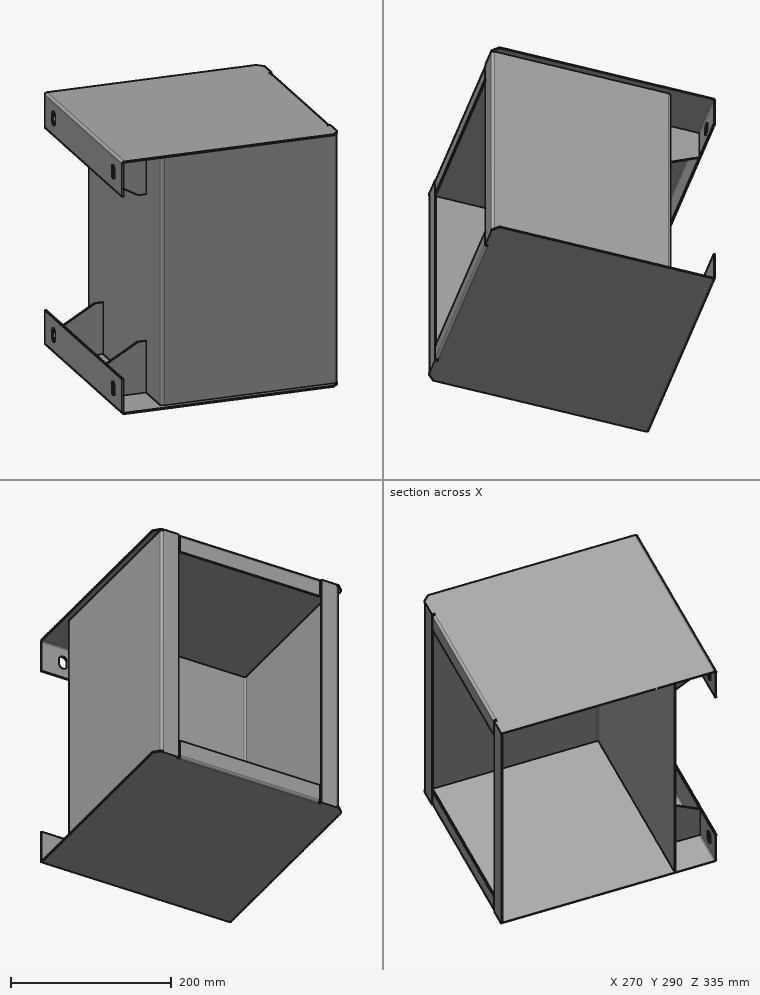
import cadquery as cq

WIDTH = 270.0
DEPTH = 290.0
HEIGHT = 335.0
FRONT = -DEPTH / 2
BACK = DEPTH / 2

SHEET = 2.0
BEND_RADIUS = 3.5

BOX_SIDE_INSET = 7.5
BOX_FRONT_INSET = 54.5
BOX_FRONT_RADIUS = 4.5
BOX_WIDTH = WIDTH - 2 * BOX_SIDE_INSET
BOX_DEPTH = DEPTH - BOX_FRONT_INSET
BOX_FRONT = FRONT + BOX_FRONT_INSET
BOX_CENTRE_Y = (BOX_FRONT + BACK) / 2
BOX_HEIGHT = HEIGHT - 2 * SHEET
BACK_LIP = 25.5
OPENING_WIDTH = BOX_WIDTH - 2 * BACK_LIP

FLANGE_HEIGHT = 46.5
CORNER_CHAMFER = 8.0
RELIEF_WIDTH = 2.5
REAR_LIP_WIDTH = OPENING_WIDTH - 2 * RELIEF_WIDTH

SLOT_WIDTH = 11.0
SLOT_LENGTH = 18.0
SLOT_SPACING = 208.5
SLOT_EDGE_DISTANCE = 24.0

GUSSET_SPACING = 150.0
GUSSET_HEIGHT = 70.5
GUSSET_FLAT = 10.7


def folded_sheet(width, inner_y, outer_y, drop):
    """Level sheet at the top of the part, folded down by `drop` along its edge at outer_y."""
    toward_inside = 1 if inner_y > outer_y else -1
    top = HEIGHT / 2
    under = top - SHEET
    end = top - drop
    inside_y = outer_y + toward_inside * SHEET
    profile = (
        cq.Workplane("YZ")
        .polyline([(inner_y, top), (outer_y, top), (outer_y, end),
                   (inside_y, end), (inside_y, under), (inner_y, under)])
        .close()
        .extrude(width / 2, both=True)
    )
    outer_corner = cq.selectors.NearestToPointSelector((0, outer_y, top))
    inner_corner = cq.selectors.NearestToPointSelector((0, inside_y, under))
    return (
        profile.edges("|X").edges(outer_corner).fillet(BEND_RADIUS)
        .edges("|X").edges(inner_corner).fillet(BEND_RADIUS - SHEET)
    )


def make_box_wall():
    def rounded_block(width, depth, front_radius, back_radius):
        return (
            cq.Workplane("XY")
            .box(width, depth, BOX_HEIGHT)
            .edges("|Z and <Y").fillet(front_radius)
            .edges("|Z and >Y").fillet(back_radius)
            .translate((0, BOX_CENTRE_Y, 0))
        )

    outside = rounded_block(BOX_WIDTH, BOX_DEPTH, BOX_FRONT_RADIUS, BEND_RADIUS)
    inside = rounded_block(
        BOX_WIDTH - 2 * SHEET,
        BOX_DEPTH - 2 * SHEET,
        BOX_FRONT_RADIUS - SHEET,
        BEND_RADIUS - SHEET,
    )
    opening = cq.Workplane("XY").box(OPENING_WIDTH, 4 * SHEET, BOX_HEIGHT).translate((0, BACK, 0))
    return outside.cut(inside).cut(opening)


def make_end_sheet():
    """Top end sheet with front mounting flange and rear lip."""
    sheet = folded_sheet(WIDTH, BACK, FRONT, FLANGE_HEIGHT)
    sheet = sheet.edges("|Z and >Y").chamfer(CORNER_CHAMFER)

    notch = (
        cq.Workplane("XY")
        .box(OPENING_WIDTH, 2 * BEND_RADIUS, 4 * SHEET)
        .translate((0, BACK, HEIGHT / 2))
    )
    rear_lip = folded_sheet(REAR_LIP_WIDTH, BOX_CENTRE_Y, BACK, BACK_LIP)

    slots = (
        cq.Workplane("XZ", origin=(0, FRONT, HEIGHT / 2 - SLOT_EDGE_DISTANCE))
        .rarray(SLOT_SPACING, 3.5, 2, 1)
        .slot2D(SLOT_LENGTH, SLOT_WIDTH, 90)
        .extrude(2 * SHEET, both=True)
    )
    return sheet.cut(notch).union(rear_lip).cut(slots)


def make_gussets():
    """Pair of gussets under the top end sheet."""
    top = HEIGHT / 2 - SHEET
    flange_inside = FRONT + SHEET
    gusset = (
        cq.Workplane("YZ")
        .polyline([
            (BOX_FRONT, top),
            (flange_inside, top),
            (flange_inside, HEIGHT / 2 - FLANGE_HEIGHT),
            (BOX_FRONT - GUSSET_FLAT, HEIGHT / 2 - GUSSET_HEIGHT),
            (BOX_FRONT, HEIGHT / 2 - GUSSET_HEIGHT),
        ])
        .close()
        .extrude(SHEET / 2, both=True)
    )
    left = gusset.translate((-GUSSET_SPACING / 2, 0, 0))
    right = gusset.translate((GUSSET_SPACING / 2, 0, 0))
    return left.union(right)


upper_end = make_end_sheet().union(make_gussets())
lower_end = upper_end.mirror("XY")
result = make_box_wall().union(upper_end).union(lower_end)